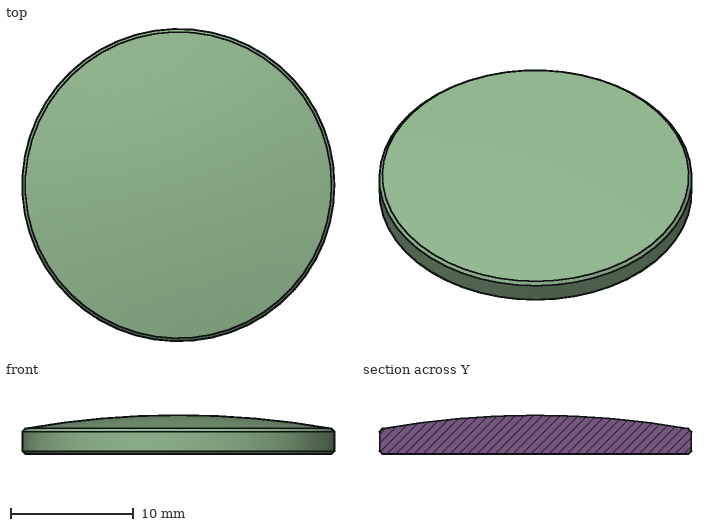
import cadquery as cq

diameter = 25.4
total_height = 3.18
dome_rise = 1.1
chamfer = 0.25

rim_radius = diameter / 2
dome_edge_radius = rim_radius - chamfer
dome_edge_height = total_height - dome_rise

sphere_radius = (dome_edge_radius**2 + dome_rise**2) / (2 * dome_rise)
mid_dome_radius = dome_edge_radius / 2
sphere_center_height = total_height - sphere_radius
mid_dome_height = sphere_center_height + (sphere_radius**2 - mid_dome_radius**2) ** 0.5

half_section = (
    cq.Workplane("XZ")
    .lineTo(dome_edge_radius, 0)
    .lineTo(rim_radius, chamfer)
    .lineTo(rim_radius, dome_edge_height - chamfer)
    .lineTo(dome_edge_radius, dome_edge_height)
    .threePointArc((mid_dome_radius, mid_dome_height), (0, total_height))
    .close()
)
result = half_section.revolve(360, (0, 0, 0), (0, 1, 0))